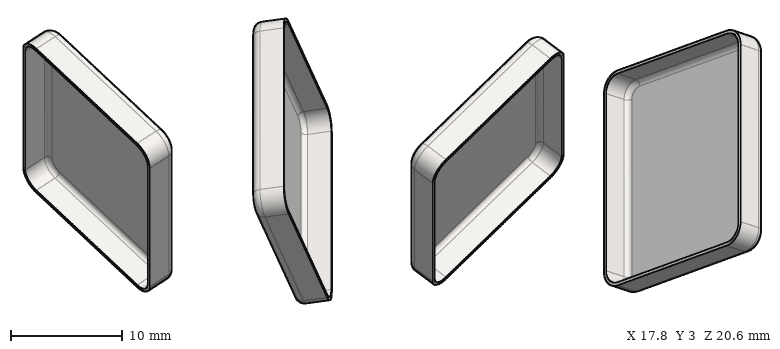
import cadquery as cq

width = 17.8
depth = 3.0
height = 20.6
wall = 0.3
corner_radius = 1.81
back_edge_radius = 0.8

inner_corner_radius = corner_radius - wall
inner_edge_radius = back_edge_radius - wall


def rounded_block(size_x, size_y, size_z, upright_radius, back_radius):
    """Block from y = 0 to size_y with rounded corners and a rounded back rim."""
    block = cq.Workplane("XY").box(size_x, size_y, size_z, centered=(True, False, True))
    return block.edges("|Y").fillet(upright_radius).faces(">Y").edges().fillet(back_radius)


shell = rounded_block(width, depth, height, corner_radius, back_edge_radius)
cavity = rounded_block(
    width - 2 * wall,
    depth - wall,
    height - 2 * wall,
    inner_corner_radius,
    inner_edge_radius,
)
result = shell.cut(cavity)